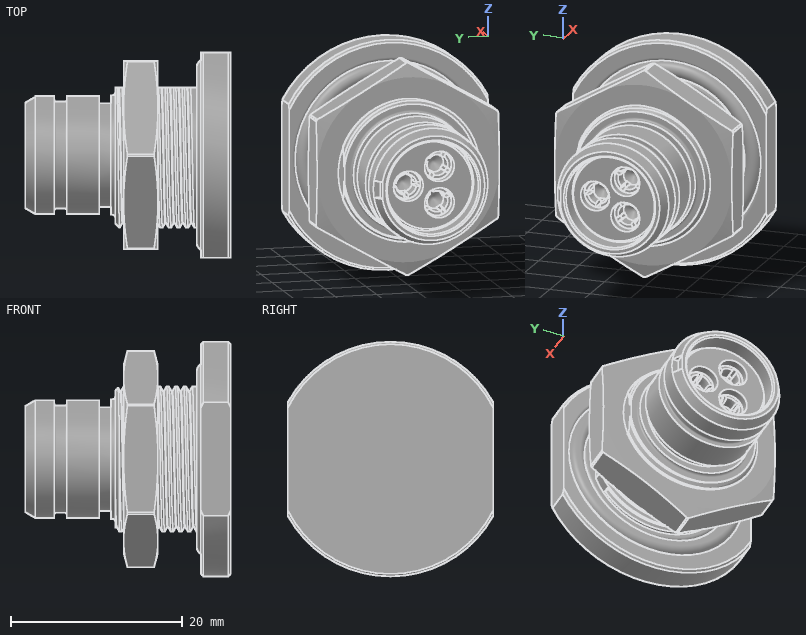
import cadquery as cq
import math


BARREL_RADIUS = 6.9
BARREL_END = 8.65
NOSE_LENGTH = 1.2
NOSE_ANGLE = 30
NOSE_RADIUS = BARREL_RADIUS - NOSE_LENGTH * math.tan(math.radians(NOSE_ANGLE))
LATCH_GROOVE_START = 3.4
LATCH_GROOVE_END = 4.85
LATCH_GROOVE_RADIUS = 6.27
LATCH_GROOVE_FILLET = 0.2
NECK_RADIUS = 6.07
NECK_END = 10.0
SHOULDER_RADIUS = 7.0
SHOULDER_FILLET = 0.3

KEY_WIDTH = 2.0
KEY_FLOOR_RADIUS = 6.1

THREAD_START = 10.5
THREAD_RADIUS = 8.5
THREAD_CHAMFER = 0.5
THREAD_PITCH = 1.0
THREAD_DEPTH = 0.55
THREAD_HALF_ANGLE = 30
THREAD_ROOT_WIDTH = 0.1
THREAD_GROOVE_START = 9.64
THREAD_TURNS = 10.15
CUT_CLEARANCE = 0.1
SHANK_FLAT_Y = 7.9

NUT_START = 11.49
NUT_THICKNESS = 4.0
NUT_ACROSS_FLATS = 22.0
NUT_CORNER_RADIUS = 12.63
NUT_CHAMFER_ANGLE = 15
NUT_BORE_RADIUS = 8.45

FLANGE_START = 20.5
FLANGE_END = 24.0
FLANGE_RADIUS = 13.705
FLANGE_WIDTH = 24.0
FLANGE_CHAMFER = 0.3
RING_CENTER_X = 21.0
RING_CENTER_RADIUS = 10.22
RING_SECTION_RADIUS = 1.0
RING_OVERLAP = 0.03
RING_LIP_RADIUS = 0.45

RECESS_RADIUS = 5.5
RECESS_DEPTH = 1.9
RECESS_CHAMFER = 0.2
INSERT_CHAMFER = 0.3
INSERT_CHAMFER_LENGTH = 0.5

CONTACT_COUNT = 3
CONTACT_CIRCLE_RADIUS = 2.5
CONTACT_WELL_RADIUS = 1.78
CONTACT_WELL_DEPTH = 1.0
CONTACT_SLOT_WIDTH = 0.5
CONTACT_SLOT_DEPTH = 1.55
CONTACT_RADIUS = 1.68
CONTACT_EDGE_LENGTH = 0.25
CONTACT_BORE_RADIUS = 1.12
CONTACT_BORE_DEPTH = 1.5
CONTACT_MOUTH_RADIUS = 1.25
CONTACT_LEAD_IN_LENGTH = 0.65
DRILL_HALF_ANGLE = 59


def revolve_about_axis(outline):
    """Turn a closed outline, drawn as (x, radius), about the X axis."""
    return outline.close().revolve(360, (0, 0, 0), (1, 0, 0))


def cylinder(radius, start, end):
    """Solid cylinder on the X axis between two x positions."""
    return cq.Workplane("YZ", origin=(start, 0, 0)).circle(radius).extrude(end - start)


def fillet_bend(radius):
    """Distance from either leg of a right-angle fillet to the middle of its arc."""
    return radius * (1 - math.cos(math.pi / 4))


def make_barrel():
    fillet = LATCH_GROOVE_FILLET
    bend = fillet_bend(fillet)
    shoulder_bend = fillet_bend(SHOULDER_FILLET)
    outline = (
        cq.Workplane("XY")
        .moveTo(0, 0)
        .lineTo(0, NOSE_RADIUS)
        .lineTo(NOSE_LENGTH, BARREL_RADIUS)
        .lineTo(LATCH_GROOVE_START, BARREL_RADIUS)
        .lineTo(LATCH_GROOVE_START, LATCH_GROOVE_RADIUS + fillet)
        .threePointArc(
            (LATCH_GROOVE_START + bend, LATCH_GROOVE_RADIUS + bend),
            (LATCH_GROOVE_START + fillet, LATCH_GROOVE_RADIUS),
        )
        .lineTo(LATCH_GROOVE_END - fillet, LATCH_GROOVE_RADIUS)
        .threePointArc(
            (LATCH_GROOVE_END - bend, LATCH_GROOVE_RADIUS + bend),
            (LATCH_GROOVE_END, LATCH_GROOVE_RADIUS + fillet),
        )
        .lineTo(LATCH_GROOVE_END, BARREL_RADIUS)
        .lineTo(BARREL_END, BARREL_RADIUS)
        .lineTo(BARREL_END, NECK_RADIUS)
        .lineTo(NECK_END, NECK_RADIUS)
        .lineTo(NECK_END, SHOULDER_RADIUS)
        .lineTo(THREAD_START - SHOULDER_FILLET, SHOULDER_RADIUS)
        .threePointArc(
            (THREAD_START - shoulder_bend, SHOULDER_RADIUS + shoulder_bend),
            (THREAD_START, SHOULDER_RADIUS + SHOULDER_FILLET),
        )
        .lineTo(THREAD_START, 0)
    )
    return revolve_about_axis(outline)


def make_key_notch():
    height = BARREL_RADIUS - KEY_FLOOR_RADIUS
    middle = KEY_FLOOR_RADIUS + height / 2
    return cq.Workplane("XY").box(NOSE_LENGTH, height, KEY_WIDTH).translate((NOSE_LENGTH / 2, middle, 0))


def make_thread_groove():
    """Right-handed V groove, swept along Z and then turned onto the X axis."""
    root_radius = THREAD_RADIUS - THREAD_DEPTH
    outer_radius = THREAD_RADIUS + CUT_CLEARANCE
    root_half = THREAD_ROOT_WIDTH / 2
    outer_half = root_half + (outer_radius - root_radius) * math.tan(math.radians(THREAD_HALF_ANGLE))
    helix = cq.Wire.makeHelix(THREAD_PITCH, THREAD_PITCH * THREAD_TURNS, root_radius)
    groove = (
        cq.Workplane("XZ")
        .moveTo(root_radius, -root_half)
        .lineTo(outer_radius, -outer_half)
        .lineTo(outer_radius, outer_half)
        .lineTo(root_radius, root_half)
        .close()
        .sweep(cq.Workplane(obj=helix), isFrenet=True)
    )
    return groove.rotate((0, 0, 0), (0, 1, 0), 90).translate((THREAD_GROOVE_START, 0, 0))


def make_shank():
    blank = cylinder(THREAD_RADIUS, THREAD_START, FLANGE_START)
    envelope = blank.faces("<X").chamfer(THREAD_CHAMFER)
    return blank.cut(make_thread_groove()).intersect(envelope)


def make_nut():
    nut_end = NUT_START + NUT_THICKNESS
    corner_diameter = NUT_ACROSS_FLATS / math.cos(math.pi / 6)
    hexagon = (
        cq.Workplane("YZ", origin=(NUT_START, 0, 0))
        .transformed(rotate=(0, 0, 90))
        .polygon(6, corner_diameter)
        .extrude(NUT_THICKNESS)
    )
    face_radius = NUT_ACROSS_FLATS / 2
    setback = (NUT_CORNER_RADIUS - face_radius) * math.tan(math.radians(NUT_CHAMFER_ANGLE))
    envelope = revolve_about_axis(
        cq.Workplane("XY")
        .moveTo(NUT_START, 0)
        .lineTo(NUT_START, face_radius)
        .lineTo(NUT_START + setback, NUT_CORNER_RADIUS)
        .lineTo(nut_end - setback, NUT_CORNER_RADIUS)
        .lineTo(nut_end, face_radius)
        .lineTo(nut_end, 0)
    )
    return hexagon.intersect(envelope)


def make_shank_flat():
    """Segment removed beside the shank flat; it also leaves a gap through the nut."""
    length = FLANGE_START - THREAD_START
    outside = cq.Workplane("XY").box(length, THREAD_RADIUS, 2 * THREAD_RADIUS).translate(
        (THREAD_START + length / 2, SHANK_FLAT_Y + THREAD_RADIUS / 2, 0)
    )
    nut_end = NUT_START + NUT_THICKNESS
    clear_radius = THREAD_RADIUS + CUT_CLEARANCE
    channel = (
        cylinder(clear_radius, THREAD_START, NUT_START)
        .union(cylinder(NUT_BORE_RADIUS, NUT_START, nut_end))
        .union(cylinder(clear_radius, nut_end, FLANGE_START))
    )
    return outside.intersect(channel)


def make_flange():
    flange = cylinder(FLANGE_RADIUS, FLANGE_START, FLANGE_END).edges().chamfer(FLANGE_CHAMFER)
    flange_length = FLANGE_END - FLANGE_START
    flats = cq.Workplane("XY").box(flange_length, FLANGE_WIDTH, 2 * FLANGE_RADIUS)
    flange = flange.intersect(flats.translate((FLANGE_START + flange_length / 2, 0, 0)))

    wall_offset = RING_SECTION_RADIUS - RING_OVERLAP
    outer_wall = RING_CENTER_RADIUS + wall_offset
    inner_wall = RING_CENTER_RADIUS - wall_offset
    floor = FLANGE_START + RING_LIP_RADIUS
    bend = fillet_bend(RING_LIP_RADIUS)
    groove = revolve_about_axis(
        cq.Workplane("XY")
        .moveTo(FLANGE_START, inner_wall - RING_LIP_RADIUS)
        .threePointArc((FLANGE_START + bend, inner_wall - bend), (floor, inner_wall))
        .lineTo(floor, outer_wall)
        .threePointArc(
            (FLANGE_START + bend, outer_wall + bend),
            (FLANGE_START, outer_wall + RING_LIP_RADIUS),
        )
    )
    ring = (
        cq.Workplane("XY")
        .center(RING_CENTER_X, RING_CENTER_RADIUS)
        .circle(RING_SECTION_RADIUS)
        .revolve(360, (0, -RING_CENTER_RADIUS, 0), (1, -RING_CENTER_RADIUS, 0))
    )
    return flange.cut(groove).union(ring)


def make_recess():
    return revolve_about_axis(
        cq.Workplane("XY")
        .moveTo(0, 0)
        .lineTo(0, RECESS_RADIUS + RECESS_CHAMFER)
        .lineTo(RECESS_CHAMFER, RECESS_RADIUS)
        .lineTo(RECESS_DEPTH + INSERT_CHAMFER_LENGTH, RECESS_RADIUS)
        .lineTo(RECESS_DEPTH, RECESS_RADIUS - INSERT_CHAMFER)
        .lineTo(RECESS_DEPTH, 0)
    )


def make_contact_cavity():
    """Space cut for one contact, on the X axis: well, drilled bore and cross slots."""
    rim = RECESS_DEPTH + CONTACT_WELL_DEPTH
    bore_end = rim + CONTACT_BORE_DEPTH
    tip = bore_end + CONTACT_BORE_RADIUS / math.tan(math.radians(DRILL_HALF_ANGLE))
    lead_in_rise = CONTACT_MOUTH_RADIUS - CONTACT_BORE_RADIUS
    lead_in_radius = (CONTACT_LEAD_IN_LENGTH**2 + lead_in_rise**2) / (2 * lead_in_rise)
    half_length = CONTACT_LEAD_IN_LENGTH / 2
    middle_rise = lead_in_radius - math.sqrt(lead_in_radius**2 - half_length**2)
    lead_in_middle = (rim + half_length, CONTACT_BORE_RADIUS + middle_rise)
    cavity = revolve_about_axis(
        cq.Workplane("XY")
        .moveTo(RECESS_DEPTH, 0)
        .lineTo(RECESS_DEPTH, CONTACT_WELL_RADIUS)
        .lineTo(rim + CONTACT_EDGE_LENGTH, CONTACT_WELL_RADIUS)
        .lineTo(rim, CONTACT_RADIUS)
        .lineTo(rim, CONTACT_MOUTH_RADIUS)
        .threePointArc(lead_in_middle, (rim + CONTACT_LEAD_IN_LENGTH, CONTACT_BORE_RADIUS))
        .lineTo(bore_end, CONTACT_BORE_RADIUS)
        .lineTo(tip, 0)
    )
    slot_plane = cq.Workplane("YZ", origin=(rim, 0, 0))
    slot_length = 2 * CONTACT_WELL_RADIUS
    slot = slot_plane.rect(slot_length, CONTACT_SLOT_WIDTH).extrude(CONTACT_SLOT_DEPTH)
    slots = slot.union(slot.rotate((0, 0, 0), (1, 0, 0), 90))
    return cavity.union(slots.intersect(cylinder(CONTACT_RADIUS, rim, tip)))


def cut_contacts(body):
    cavity = make_contact_cavity().translate((0, CONTACT_CIRCLE_RADIUS, 0))
    for index in range(CONTACT_COUNT):
        angle = index * 360 / CONTACT_COUNT
        body = body.cut(cavity.rotate((0, 0, 0), (1, 0, 0), angle))
    return body


shell = make_shank().union(make_nut())
shell = shell.cut(make_shank_flat())
shell = shell.union(make_barrel()).union(make_flange())
shell = shell.cut(make_key_notch()).cut(make_recess())
result = cut_contacts(shell)